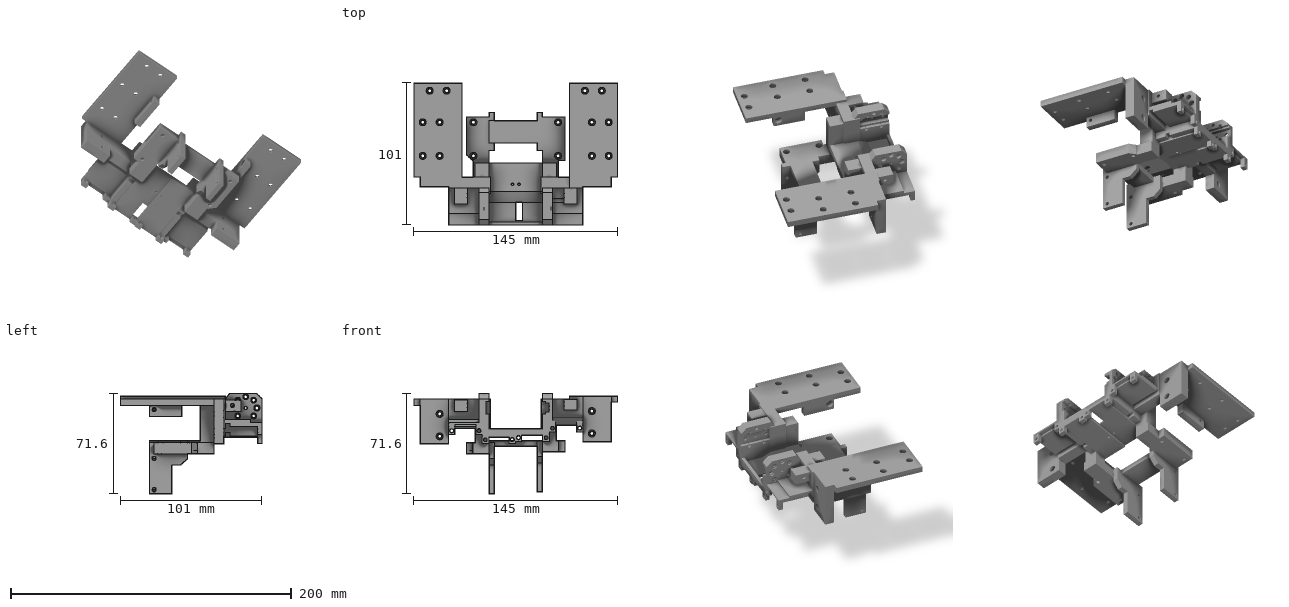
import cadquery as cq
import math

LEFT, RIGHT = -1, 1
UPPER_RISE = 2.0
LOWER_RISE = 1.5
SHELF_RISE = 1.9
BLOCK_RISE = 1.0

REAR_Y = 101.0
WALL_FRONT_Y = 26.2
WALL_REAR_Y = 34.2
PLATE_FRONT_Y = 27.3
PILLAR_REAR_Y = 44.2
LEG_REAR_Y = 80.3
WALL_END_FRONT_Y = 22.3
LUG_DEPTH = 3.2
RAMP_FRONT_Y = 16.1

WING_OUTER_X = 72.5
PLATE_OUTER_X = 68.2
PLATE_INNER_X = 47.8
WING_INNER_X = 38.3
ARM_OUTER_X = 26.2
BLOCK_INNER_X = 34.5
INNER_X = 19.0
WALL_END_X = 18.1
LEG_INNER_X = 15.2

WALL_TOP_Z = 67.7
WALL_BOTTOM_Z = 46.5
PLATE_HEIGHT = 32.0
SHELF_BOTTOM_Z = 48.0
LIP_BOTTOM_Z = 49.5
ARM_BOTTOM_Z = 41.3
ARM_TOP_Z = 71.6
BASE_TOP_Z = 36.5
BASE_THICKNESS = 8.0
FLOOR_TOP_Z = 46.5
FLOOR_BOTTOM_Z = 40.3

SCREW_D = 2.8
SCREW_HEAD_D = 5.0
SCREW_SEAT = 2.3
WING_SCREW_SEAT = 1.5
SCREW_ROWS_Y = (49.3, 73.2)
PLATE_SCREW_X = 54.2

PIN_D = 2.8
PIN_Y = 77.0
POCKET_X = 21.0
DEEP_POCKET_X = 23.8
GROOVE_FRONT_Y = 23.0
GROOVE_HEIGHT = 2.3
LUG_W = 4.5
CAVITY_X = 23.9
SLOT_W = 4.6
LUG_HOLE_D = 2.6
LUG_HOLE_HEIGHT = 2.8


def rise(side, amount):
    """Height added on the right side only."""
    return amount if side == RIGHT else 0


def side_box(side, x, y, z):
    """Box from (inner, outer) X distances and (low, high) Y and Z ranges on one side."""
    size = [high - low for low, high in (x, y, z)]
    center = (side * sum(x) / 2, sum(y) / 2, sum(z) / 2)
    return cq.Workplane("XY").box(*size).translate(center)


def side_profile(side, x, points):
    """Prism along X between two X distances, from a (Y, Z) outline."""
    start = min(side * x[0], side * x[1])
    return cq.Workplane("YZ").workplane(offset=start).polyline(points).close().extrude(x[1] - x[0])


def rod(diameter, start, direction, length):
    """Cylinder used as a drill."""
    return cq.Workplane(cq.Solid.makeCylinder(diameter / 2, length, cq.Vector(*start), cq.Vector(*direction)))


def drill_screw(body, start, direction, thickness, seat=SCREW_SEAT):
    """Counterbored through hole entered at start."""
    body = body.cut(rod(SCREW_D, start, direction, thickness))
    return body.cut(rod(SCREW_HEAD_D, start, direction, thickness - seat))


def make_wing(side):
    """Top plate, vertical front plate, and the hinge block below the top plate."""
    top = WALL_TOP_Z + rise(side, UPPER_RISE)
    thickness = 4.8 if side == LEFT else 4.4
    under = top - thickness
    plate_bottom = WALL_TOP_Z - PLATE_HEIGHT + rise(side, LOWER_RISE)
    block_y = (57.3, LEG_REAR_Y)
    block_bottom = top - 12.6
    block_width = 4.8
    pin_z = top - 7.7
    pin_head_d = 5.5
    pin_head_depth = 3.3

    wing = side_box(side, (WING_INNER_X, WING_OUTER_X), (WALL_REAR_Y, REAR_Y), (under, top))
    wing = wing.union(side_box(side, (WING_INNER_X, PLATE_INNER_X), (WALL_FRONT_Y, WALL_REAR_Y), (under, top)))
    wing = wing.union(side_box(side, (PLATE_INNER_X, PLATE_OUTER_X), (PLATE_FRONT_Y, WALL_REAR_Y),
                               (plate_bottom, top)))
    wing = wing.union(side_box(side, (WING_INNER_X, WING_INNER_X + block_width), block_y,
                               (block_bottom, under)))
    pin_start = (side * WING_INNER_X, PIN_Y, pin_z)
    wing = wing.cut(rod(PIN_D, pin_start, (side, 0, 0), block_width))
    wing = wing.cut(rod(pin_head_d, pin_start, (side, 0, 0), pin_head_depth))

    rear_screws = [(49.3, 95.7), (61.3, 95.7)]
    square_screws = [(x, y) for x in (PLATE_SCREW_X, 66.3) for y in SCREW_ROWS_Y]
    for x, y in rear_screws + square_screws:
        wing = drill_screw(wing, (side * x, y, top), (0, 0, -1), thickness, WING_SCREW_SEAT)
    plate_screw_drops = (10.7, 26.7)
    for drop in plate_screw_drops:
        start = (side * PLATE_SCREW_X, PLATE_FRONT_Y, top - drop)
        wing = drill_screw(wing, start, (0, 1, 0), WALL_REAR_Y - PLATE_FRONT_Y)
    return wing


def make_wall(side):
    """Cross wall behind the shelf, with its end running forward beside the arm, and the pillar."""
    bottom = WALL_BOTTOM_Z + rise(side, UPPER_RISE)
    pillar_outer_x = 29
    pillar_top_z = 65.0

    wall = side_box(side, (WALL_END_X, PLATE_INNER_X), (WALL_FRONT_Y, WALL_REAR_Y), (bottom, WALL_TOP_Z))
    wall = wall.union(side_box(side, (WALL_END_X, INNER_X), (WALL_END_FRONT_Y, WALL_REAR_Y),
                               (FLOOR_TOP_Z, WALL_TOP_Z)))
    base_top = BASE_TOP_Z + rise(side, LOWER_RISE)
    return wall.union(side_box(side, (INNER_X, pillar_outer_x), (WALL_REAR_Y, PILLAR_REAR_Y),
                               (base_top, pillar_top_z)))


def make_base(side):
    """Base plate under the pillar, with one corner bevelled on the left, and the leg on its inner edge."""
    top = BASE_TOP_Z + rise(side, LOWER_RISE)
    bottom = top - BASE_THICKNESS
    outer_x = 35.2
    neck_x = 30.3
    rear_y = PIN_Y
    screw_x = 30.2
    neck_y = 46.0
    corner = 4.4
    foot_z = rise(side, LOWER_RISE)

    base = side_box(side, (INNER_X, outer_x), (neck_y, rear_y), (bottom, top))
    if side == LEFT:
        base = base.edges("|Z and <X and <Y").chamfer(corner)
    base = base.union(side_box(side, (INNER_X, neck_x), (WALL_REAR_Y, neck_y), (bottom, top)))
    for y in SCREW_ROWS_Y:
        base = drill_screw(base, (side * screw_x, y, top), (0, 0, -1), BASE_THICKNESS)

    leg_front_y = 53.0
    shin_front_y = 64.4
    bevel_y, bevel_z = 58.3, 20.5
    bevel_top_z = 25.1
    outline = [(LEG_REAR_Y, 0), (LEG_REAR_Y, BASE_TOP_Z), (leg_front_y, BASE_TOP_Z), (leg_front_y, bevel_top_z),
               (bevel_y, bevel_z), (shin_front_y, bevel_z), (shin_front_y, 0)]
    leg = side_profile(side, (LEG_INNER_X, INNER_X), outline).translate((0, 0, foot_z))
    leg_pin_heights = (3.0, 25.2)
    for z in leg_pin_heights:
        leg = leg.cut(rod(PIN_D, (side * LEG_INNER_X, PIN_Y, z + foot_z), (side, 0, 0), INNER_X - LEG_INNER_X))
    return base.union(leg)


def make_shelf(side):
    """Outer shelf with a stepped top, a rear groove underneath and a stop block."""
    lift = rise(side, SHELF_RISE)
    top = 53.0 + rise(side, BLOCK_RISE)
    lip_thickness = 1.3
    front_top = LIP_BOTTOM_Z + lip_thickness + lift
    lip_bottom = LIP_BOTTOM_Z + lift
    bottom = SHELF_BOTTOM_Z + lift
    groove_top = bottom + GROOVE_HEIGHT
    step_y = 8.4
    outline = [(0, lip_bottom), (0, front_top), (step_y, front_top), (step_y, top), (WALL_FRONT_Y, top),
               (WALL_FRONT_Y, groove_top), (GROOVE_FRONT_Y, groove_top), (GROOVE_FRONT_Y, bottom),
               (LUG_DEPTH, bottom), (LUG_DEPTH, lip_bottom)]
    shelf = side_profile(side, (ARM_OUTER_X, PLATE_INNER_X), outline)

    block_top = 66.8 if side == LEFT else 67.4
    block_z = (58.7 + rise(side, BLOCK_RISE), block_top)
    block_x = (BLOCK_INNER_X, 43.6)
    block_front_y = 15.0
    pin_y = 21.2
    pin_height = 4.4
    shelf = shelf.union(side_box(side, block_x, (block_front_y, WALL_FRONT_Y), block_z))
    pin_start = (side * block_x[0], pin_y, block_z[0] + pin_height)
    pin = rod(PIN_D, pin_start, (side, 0, 0), block_x[1] - block_x[0])
    return shelf.cut(pin)


def make_arm(side):
    """Upright arm plate with a pocket on its inner face; its lower part is narrower and runs under the wall."""
    bottom = ARM_BOTTOM_Z + rise(side, LOWER_RISE)
    groove_top = bottom + GROOVE_HEIGHT
    upper_bottom = SHELF_BOTTOM_Z + rise(side, SHELF_RISE)
    upper_groove_top = upper_bottom + GROOVE_HEIGHT
    bevel_front_y, bevel_rear_y = 4.0, 23.2
    outline = [(0, upper_bottom), (0, WALL_TOP_Z), (bevel_front_y, ARM_TOP_Z), (bevel_rear_y, ARM_TOP_Z),
               (WALL_FRONT_Y, WALL_TOP_Z), (WALL_FRONT_Y, upper_groove_top), (GROOVE_FRONT_Y, upper_groove_top),
               (GROOVE_FRONT_Y, upper_bottom)]
    arm = side_profile(side, (INNER_X, ARM_OUTER_X), outline)
    lower = [(0, bottom), (0, upper_groove_top), (WALL_REAR_Y, upper_groove_top), (WALL_REAR_Y, bottom),
             (WALL_FRONT_Y, bottom), (WALL_FRONT_Y, groove_top), (GROOVE_FRONT_Y, groove_top),
             (GROOVE_FRONT_Y, bottom)]
    arm = arm.union(side_profile(side, (INNER_X, CAVITY_X), lower))

    pocket_z = (56.8, 66.0)
    deep_pocket_z = (58.5, 64.7)
    arm = arm.cut(side_box(side, (INNER_X, POCKET_X), (0, WALL_END_FRONT_Y), pocket_z))
    if side == RIGHT:
        arm = arm.cut(side_box(side, (INNER_X, DEEP_POCKET_X), (0, WALL_END_FRONT_Y), deep_pocket_z))
    return arm


def drill_disc(body, side):
    """Ring of seven counterbored screws and a center hole through the arm."""
    center_y, center_z = 11.7, 61.2
    ring_radius = 8.0
    center_d = 2.0
    screw_seat = 1.5
    seat_x = screw_seat + (DEEP_POCKET_X if side == RIGHT else POCKET_X)
    for angle in (-45, 0, 45, 90, 135, 180, 225):
        y = center_y - ring_radius * math.cos(math.radians(angle))
        z = center_z + ring_radius * math.sin(math.radians(angle))
        head_d, hole_d = (4.4, 2.8) if angle == 0 else (4.0, 2.6)
        body = body.cut(rod(head_d, (side * seat_x, y, z), (side, 0, 0), BLOCK_INNER_X - seat_x))
        body = body.cut(rod(hole_d, (side * INNER_X, y, z), (side, 0, 0), BLOCK_INNER_X - INNER_X))
    return body.cut(rod(center_d, (side * INNER_X, center_y, center_z), (side, 0, 0), ARM_OUTER_X - INNER_X))


def make_lugs(side):
    """Front lugs: two under the shelf ends and two lower ones under the floor."""
    upper_lug_height = 7.2
    lower_lug_bottom = 35.8
    upper_top = LIP_BOTTOM_Z + rise(side, SHELF_RISE)
    upper = (upper_top - upper_lug_height, upper_top)
    lower = (lower_lug_bottom + rise(side, LOWER_RISE), ARM_BOTTOM_Z + rise(side, LOWER_RISE))
    center_x = 4.8 if side == LEFT else 4.2
    spans = [((PLATE_INNER_X - LUG_W, PLATE_INNER_X), upper), ((CAVITY_X, CAVITY_X + LUG_W), upper),
             ((INNER_X, CAVITY_X), lower), ((center_x - LUG_W, center_x), lower)]
    lugs = cq.Workplane("XY")
    for x, z_range in spans:
        lug = side_box(side, x, (0, LUG_DEPTH), z_range)
        hole_x = x[1] - LUG_W / 2
        lug = lug.cut(rod(LUG_HOLE_D, (side * hole_x, 0, z_range[0] + LUG_HOLE_HEIGHT), (0, 1, 0), LUG_DEPTH))
        lugs = lugs.union(lug)
    return lugs


def make_floor(side):
    """Half of the floor between the arms: flat at the rear, a ramp, a low tray and a front rim."""
    bottom = FLOOR_BOTTOM_Z + rise(side, LOWER_RISE)
    tray_z = 42.9
    rim_y = 2.3
    ramp_rear_y = 24.0
    outline = [(0, bottom), (0, FLOOR_TOP_Z), (rim_y, FLOOR_TOP_Z), (rim_y, tray_z), (RAMP_FRONT_Y, tray_z),
               (ramp_rear_y, FLOOR_TOP_Z), (PILLAR_REAR_Y, FLOOR_TOP_Z), (PILLAR_REAR_Y, bottom)]
    return side_profile(side, (0, INNER_X), outline)


result = cq.Workplane("XY")
for side in (LEFT, RIGHT):
    front = make_shelf(side).union(make_arm(side))
    front = drill_disc(front, side)
    for piece in (front, make_wall(side), make_wing(side),
                  make_base(side), make_lugs(side), make_floor(side)):
        result = result.union(piece)

bridge_top = BASE_TOP_Z + LOWER_RISE
bridge_thickness = 4.2
bridge_y = (58.3, 74.4)
for side in (LEFT, RIGHT):
    result = result.union(side_box(side, (0, INNER_X), bridge_y, (bridge_top - bridge_thickness, bridge_top)))

slot_y = (3.3, RAMP_FRONT_Y)
result = result.cut(side_box(RIGHT, (0, SLOT_W), slot_y, (FLOOR_BOTTOM_Z, FLOOR_TOP_Z)))

floor_hole_d = 1.6
floor_hole_x = 2.3
floor_hole_y = 29.1
for side in (LEFT, RIGHT):
    hole_start = (side * floor_hole_x, floor_hole_y, FLOOR_TOP_Z)
    result = result.cut(rod(floor_hole_d, hole_start, (0, 0, -1), FLOOR_TOP_Z - FLOOR_BOTTOM_Z))